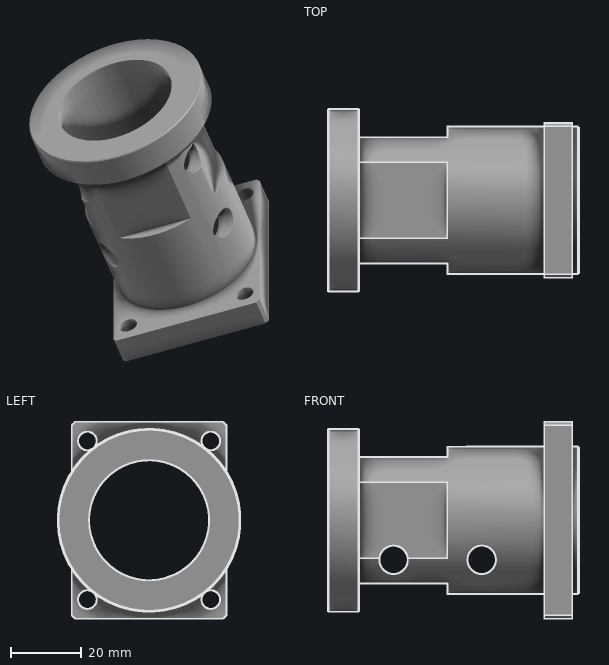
import cadquery as cq

total_length = 71.5
bore_diameter = 34.0
body_diameter = 42.0

flange_diameter = 52.0
flange_thickness = 9.0
flange_chamfer = 0.3

neck_end = 34.0
across_flats = 36.0

plate_width = 44.0
plate_height = 56.0
plate_thickness = 8.0
plate_corner_chamfer = 1.0
spigot_length = 2.0
spigot_chamfer = 0.5
plate_start = total_length - spigot_length - plate_thickness

mount_hole_diameter = 5.2
mount_spacing_y = 35.0
mount_spacing_z = 45.05
cross_hole_diameter = 8.0
cross_hole_positions_x = (18.7, 43.75)
cross_hole_z = -11.2


def cylinder_along_x(diameter, start, length):
    return cq.Workplane("YZ", origin=(start, 0, 0)).circle(diameter / 2).extrude(length)


def make_body():
    """Full round tube blank, chamfered at the spigot end."""
    body = cylinder_along_x(body_diameter, 0, total_length)
    return body.faces(">X").chamfer(spigot_chamfer)


def cut_neck_flats(body):
    """Trim the neck to a square section whose corners stay round."""
    length = neck_end - flange_thickness
    neck = cq.Workplane("YZ", origin=(flange_thickness, 0, 0))
    removed = neck.circle(body_diameter).rect(across_flats, across_flats).extrude(length)
    return body.cut(removed)


def make_flange():
    flange = cylinder_along_x(flange_diameter, 0, flange_thickness)
    return flange.edges().chamfer(flange_chamfer)


def make_plate():
    """Mounting plate with chamfered corners and four bolt holes."""
    blank = cq.Workplane("YZ", origin=(plate_start, 0, 0)).rect(plate_width, plate_height)
    plate = blank.extrude(plate_thickness).edges("|X").chamfer(plate_corner_chamfer)
    holes = (
        cq.Workplane("YZ", origin=(plate_start, 0, 0))
        .rect(mount_spacing_y, mount_spacing_z, forConstruction=True)
        .vertices()
        .circle(mount_hole_diameter / 2)
        .extrude(plate_thickness)
    )
    return plate.cut(holes)


def make_cross_holes():
    """Cutters for the holes that pass through both walls along Y."""
    centres = [(x, cross_hole_z) for x in cross_hole_positions_x]
    return (
        cq.Workplane("XZ")
        .pushPoints(centres)
        .circle(cross_hole_diameter / 2)
        .extrude(body_diameter / 2, both=True)
    )


result = cut_neck_flats(make_body()).union(make_flange()).union(make_plate())
result = result.cut(cylinder_along_x(bore_diameter, 0, total_length))
result = result.cut(make_cross_holes())